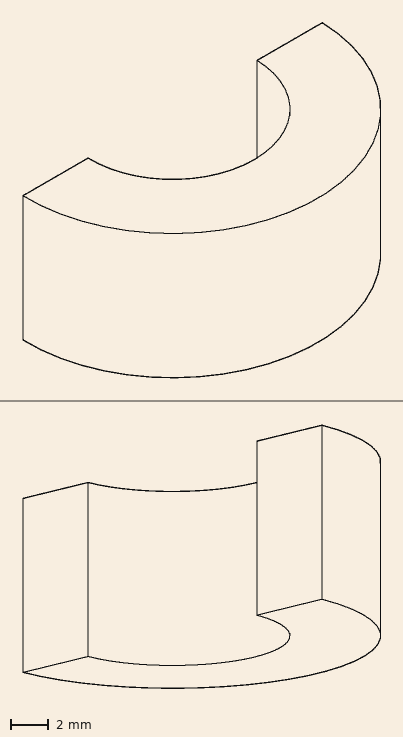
import cadquery as cq

outer_diameter = 22.0
inner_diameter = 12.4
height = 9.5

outer_radius = outer_diameter / 2
inner_radius = inner_diameter / 2

half_ring_outline = (
    cq.Workplane("XY")
    .moveTo(0, -outer_radius)
    .threePointArc((outer_radius, 0), (0, outer_radius))
    .lineTo(0, inner_radius)
    .threePointArc((inner_radius, 0), (0, -inner_radius))
    .close()
)

result = half_ring_outline.extrude(height)